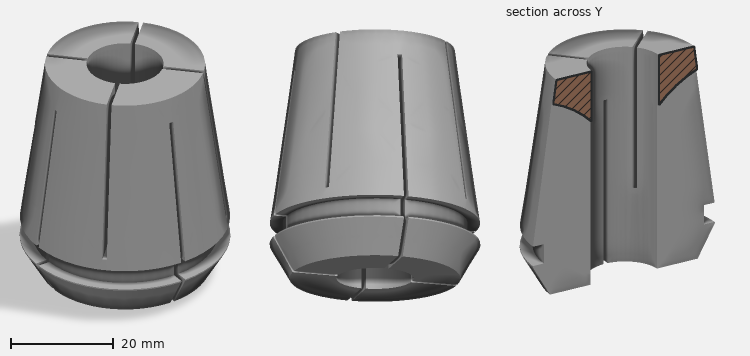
import cadquery as cq
import math

height = 46.0
flange_radius = 20.5
bore_radius = 7.5

nose_angle = 30.0
flange_top = 7.0
lip_height = 0.28

groove_radius = 18.05
groove_top = 11.15

taper_angle = 8.0
taper_base_radius = 20.45

slot_width = 0.9
slots_per_end = 4
slot_pitch = 360.0 / slots_per_end
blade_radius = 23.0
nose_blade_offset = 24.3
nose_slot_crest = 42.35
top_blade_offset = 18.05
top_slot_floor = 13.3


def tangent(angle):
    return math.tan(math.radians(angle))


def make_body():
    """Revolve the half section of the collet, bore included."""
    lip_base = flange_top - lip_height
    nose_radius = flange_radius - lip_base * tangent(nose_angle)
    top_radius = taper_base_radius - (height - groove_top) * tangent(taper_angle)
    section = [
        (bore_radius, 0),
        (nose_radius, 0),
        (flange_radius, lip_base),
        (flange_radius, flange_top),
        (groove_radius, flange_top),
        (groove_radius, groove_top),
        (taper_base_radius, groove_top),
        (top_radius, height),
        (bore_radius, height),
    ]
    return cq.Workplane("XZ").polyline(section).close().revolve(360, (0, 0), (0, 1))


def make_slot(blade_offset, blade_rim, open_end):
    """Radial slot along +X whose blind end is the arc left by a round saw blade.

    blade_rim is the extreme height of the arc and open_end the face the slot runs out of.
    """
    toward_rim = math.copysign(1, blade_rim - open_end)
    blade_centre = blade_rim - toward_rim * blade_radius
    outer_reach = blade_offset + blade_radius

    def rim_height(radius):
        return blade_centre + toward_rim * math.sqrt(blade_radius**2 - (radius - blade_offset) ** 2)

    inner_reach = bore_radius / 2
    middle = (inner_reach + outer_reach) / 2
    return (
        cq.Workplane("XZ")
        .moveTo(inner_reach, open_end)
        .lineTo(inner_reach, rim_height(inner_reach))
        .threePointArc((middle, rim_height(middle)), (outer_reach, blade_centre))
        .lineTo(outer_reach, open_end)
        .close()
        .extrude(slot_width / 2, both=True)
    )


def cut_slots(body, slot, first_angle):
    """Cut one set of equally spaced slots around the axis."""
    for index in range(slots_per_end):
        body = body.cut(slot.rotate((0, 0, 0), (0, 0, 1), first_angle + index * slot_pitch))
    return body


nose_slot = make_slot(nose_blade_offset, nose_slot_crest, 0)
top_slot = make_slot(top_blade_offset, top_slot_floor, height)

result = make_body()
result = cut_slots(result, nose_slot, 0)
result = cut_slots(result, top_slot, slot_pitch / 2)